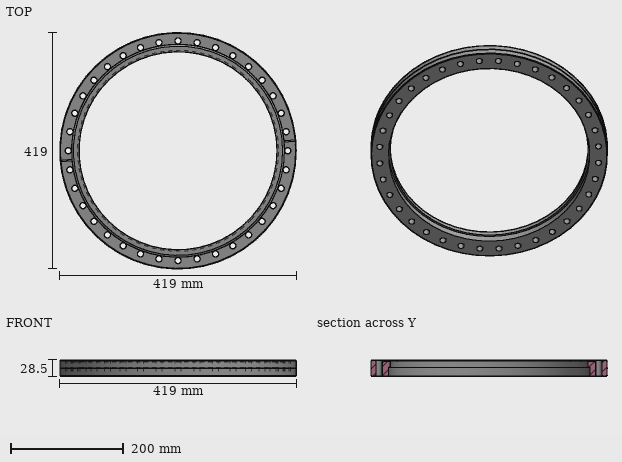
import cadquery as cq
import math

outer_radius = 209.5
height = 28.5
rim_chamfer = 1.3

bore_radius = 175.0
socket_radius = 178.0
socket_depth = 16.0

recess_radius = 188.5
knife_radius = 185.2
knife_drop = 1.5
knife_angle = 20.0
cone_drop = (recess_radius - knife_radius) * math.tan(math.radians(knife_angle))

rim_groove_width = 1.3
rim_groove_depth = 0.25

bolt_count = 36
bolt_circle_radius = 194.5
bolt_hole_diameter = 10.5
bolt_pitch = 360 / bolt_count

leak_groove_radius = 1.17
leak_groove_angles = (bolt_pitch / 2, bolt_pitch / 2 + 180)


def ring_body():
    """Revolve the half section of the ring, with radius along X and height along Z."""
    knife_height = height - knife_drop
    section = (
        cq.Workplane("XZ")
        .moveTo(socket_radius, 0)
        .lineTo(outer_radius - rim_chamfer, 0)
        .lineTo(outer_radius, rim_chamfer)
        .lineTo(outer_radius, height - rim_chamfer)
        .lineTo(outer_radius - rim_chamfer, height)
        .lineTo(recess_radius, height)
        .lineTo(recess_radius, knife_height - cone_drop)
        .lineTo(knife_radius, knife_height)
        .lineTo(bore_radius, knife_height)
        .lineTo(bore_radius, socket_depth)
        .lineTo(socket_radius, socket_depth)
        .close()
    )
    return section.revolve(360, (0, 0), (0, 1))


def rim_groove():
    """Thin ring that cuts the groove at mid height of the outer wall."""
    return (
        cq.Workplane("XY", origin=(0, 0, (height - rim_groove_width) / 2))
        .circle(outer_radius + rim_groove_depth)
        .circle(outer_radius - rim_groove_depth)
        .extrude(rim_groove_width)
    )


def bolt_holes():
    """Cylinders for the full circle of through holes."""
    return (
        cq.Workplane("XY")
        .polarArray(bolt_circle_radius, 0, 360, bolt_count)
        .circle(bolt_hole_diameter / 2)
        .extrude(height)
    )


def leak_groove(angle):
    """Radial rod, centred on the top face, that runs from the gasket recess past the outer wall."""
    return (
        cq.Workplane("YZ", origin=(knife_radius, 0, height))
        .circle(leak_groove_radius)
        .extrude(outer_radius - knife_radius + rim_chamfer)
        .rotate((0, 0, 0), (0, 0, 1), angle)
    )


result = ring_body().cut(rim_groove()).cut(bolt_holes())
for groove_angle in leak_groove_angles:
    result = result.cut(leak_groove(groove_angle))